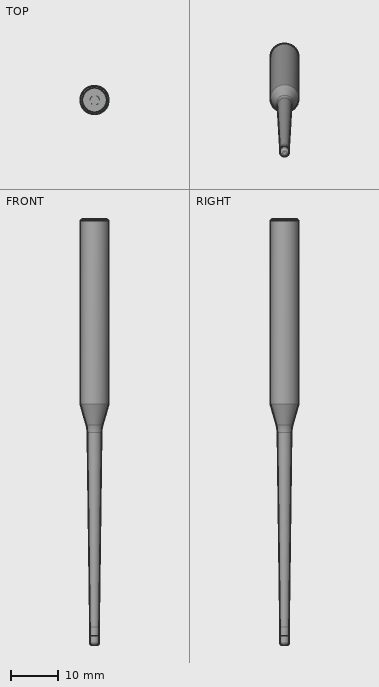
import cadquery as cq

total_length = 90.0
shank_diameter = 6.0
shank_chamfer = 0.45

tip_diameter = 2.0
tip_length = 2.0
corner_radius = 0.5

neck_diameter = tip_diameter
taper_start = 4.0
taper_end = 45.0
taper_end_diameter = 3.1

cone_start = 46.5
cone_start_diameter = 3.5
cone_end = 50.9


def make_cutting_tip():
    """Solid cylinder with a rounded lower edge."""
    tip = cq.Workplane("XY").circle(tip_diameter / 2).extrude(tip_length)
    return tip.faces("<Z").edges().fillet(corner_radius)


def make_shank():
    """Neck, taper, shoulder and chamfered shank, revolved about Z."""
    shank_radius = shank_diameter / 2
    neck_radius = neck_diameter / 2
    profile = (
        cq.Workplane("XZ")
        .moveTo(0, tip_length)
        .lineTo(neck_radius, tip_length)
        .lineTo(neck_radius, taper_start)
        .lineTo(taper_end_diameter / 2, taper_end)
        .tangentArcPoint((cone_start_diameter / 2, cone_start), relative=False)
        .lineTo(shank_radius, cone_end)
        .lineTo(shank_radius, total_length - shank_chamfer)
        .lineTo(shank_radius - shank_chamfer, total_length)
        .lineTo(0, total_length)
        .close()
    )
    return profile.revolve(360, (0, 0, 0), (0, 1, 0))


cutting_tip = make_cutting_tip()
shank = make_shank()

result = cq.Compound.makeCompound([cutting_tip.val(), shank.val()])